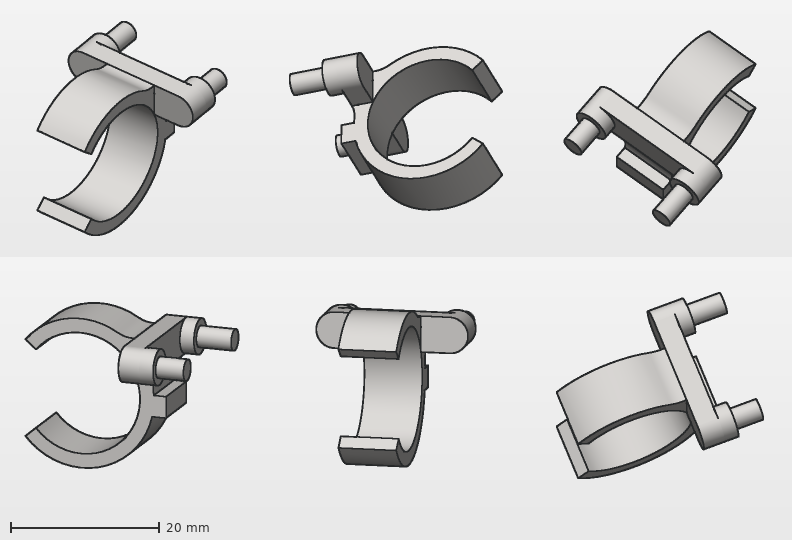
import cadquery as cq
import math

ring_outer_radius = 10.5
ring_inner_radius = 8.5
ring_width = 8.0
mouth_half_angle = math.radians(40.4)
blend_radius = 4.0

plate_front = 7.75
plate_thickness = 3.0
plate_height = 5.0
plate_bottom = 3.5
stud_spacing = 16.0

boss_length = 2.0
pin_radius = 1.5
long_pin_length = 5.0
short_pin_length = 4.0

hook_back = 12.25
hook_top = 0.72
hook_height = 3.0

wall_middle_radius = (ring_inner_radius + ring_outer_radius) / 2
plate_back = plate_front + plate_thickness
plate_top = plate_bottom + plate_height
plate_middle = plate_bottom + plate_height / 2
boss_radius = plate_height / 2


def ring_point(radius, angle):
    """Point (y, z) on a circle about the ring axis, angle measured from +Y."""
    return radius * math.cos(angle), radius * math.sin(angle)


def extrude_centred(sketch, width):
    """Extrude a YZ outline equally to both sides of the YZ plane."""
    return sketch.extrude(width / 2, both=True)


def make_open_ring():
    """C-shaped ring with radial end faces and its mouth toward -Y."""
    upper = math.pi - mouth_half_angle
    lower = -upper
    outline = (
        cq.Workplane("YZ")
        .moveTo(*ring_point(ring_inner_radius, upper))
        .lineTo(*ring_point(ring_outer_radius, upper))
        .threePointArc((ring_outer_radius, 0), ring_point(ring_outer_radius, lower))
        .lineTo(*ring_point(ring_inner_radius, lower))
        .threePointArc((ring_inner_radius, 0), ring_point(ring_inner_radius, upper))
        .close()
    )
    return extrude_centred(outline, ring_width)


def make_web(corner, foot, turn):
    """Fill between ring and plate, bounded by a concave arc.

    The arc starts at the plate corner (y, z) and runs tangent into the ring outside.
    A straight side along the plate joins the corner to the foot, inside the ring wall.
    `turn` is +1 when the tangent point lies counterclockwise of the corner, -1 otherwise.
    """
    corner_y, corner_z = corner
    corner_distance = math.hypot(corner_y, corner_z)
    centre_distance = ring_outer_radius + blend_radius
    swing = math.acos(
        (corner_distance**2 + centre_distance**2 - blend_radius**2)
        / (2 * corner_distance * centre_distance)
    )
    tangent_angle = math.atan2(corner_z, corner_y) + turn * swing
    centre_y, centre_z = ring_point(centre_distance, tangent_angle)
    tangent_y, tangent_z = ring_point(ring_outer_radius, tangent_angle)

    toward_y = (corner_y + tangent_y) / 2 - centre_y
    toward_z = (corner_z + tangent_z) / 2 - centre_z
    reach = blend_radius / math.hypot(toward_y, toward_z)
    arc_middle = (centre_y + reach * toward_y, centre_z + reach * toward_z)

    outline = (
        cq.Workplane("YZ")
        .moveTo(*corner)
        .threePointArc(arc_middle, (tangent_y, tangent_z))
        .lineTo(*ring_point(wall_middle_radius, tangent_angle))
        .lineTo(*foot)
        .close()
    )
    return extrude_centred(outline, ring_width)


def make_hook():
    """Rectangular block on the back of the ring."""
    return (
        cq.Workplane("XY")
        .box(ring_width, hook_back - wall_middle_radius, hook_height, centered=(True, False, False))
        .translate((0, wall_middle_radius, hook_top - hook_height))
    )


def make_clip():
    """Open ring with its hook and two webs along the plate; the ring runs through the plate."""
    upper_foot = (plate_front, math.sqrt(wall_middle_radius**2 - plate_front**2))
    lower_foot = (math.sqrt(wall_middle_radius**2 - plate_bottom**2), plate_bottom)
    return (
        make_open_ring()
        .union(make_web((plate_front, plate_top), upper_foot, 1))
        .union(make_web((plate_back, plate_bottom), lower_foot, -1))
        .union(make_hook())
    )


def make_plate():
    """Round-ended cross plate."""
    return (
        cq.Workplane("XZ", origin=(0, plate_back, plate_middle))
        .slot2D(stud_spacing + plate_height, plate_height)
        .extrude(plate_thickness)
    )


def make_stud(x, pin_length):
    """Boss on the back of the plate, with a slimmer pin at its end."""
    boss = (
        cq.Workplane("XZ", origin=(x, plate_back, plate_middle))
        .circle(boss_radius)
        .extrude(-boss_length)
    )
    return boss.faces(">Y").workplane().circle(pin_radius).extrude(pin_length)


def make_mount(clip):
    """Plate with both studs, notched to fit around the clip."""
    long_stud = make_stud(-stud_spacing / 2, long_pin_length)
    short_stud = make_stud(stud_spacing / 2, short_pin_length)
    return (
        make_plate()
        .cut(clip)
        .union(long_stud, clean=False)
        .union(short_stud, clean=False)
    )


clip = make_clip()
mount = make_mount(clip)
result = cq.Compound.makeCompound([clip.solids().val(), mount.solids().val()])